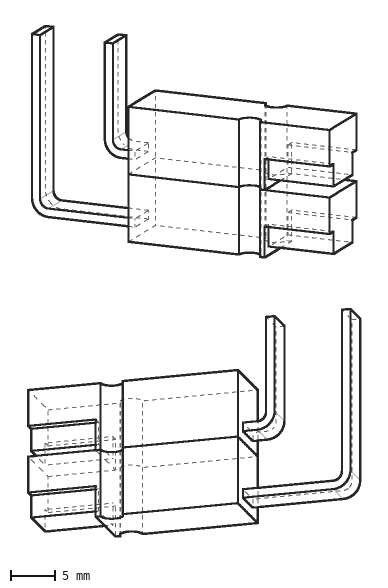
import cadquery as cq

total_length = 37.35
total_height = 22.35

housing_start = 12.65
housing_width = 7.6
housing_height = 7.88

groove_center = 27.52
groove_radius = 1.3

mating_start = 29.4
mating_length = total_length - mating_start
tongue_bottom = 1.0
hood_bottom = 3.62
tongue_inset = 1.12
tongue_width = housing_width - 2 * tongue_inset

lead_width = housing_width / 2
lead_thickness = 1.0
lead_bottom = 1.25
bend_inner_radius = 1.0
bend_outer_radius = bend_inner_radius + lead_thickness

lead_positions = [0.0, 8.92]


def block(x_start, length, width, z_start, height):
    """Box centred on Y, placed by its low X and low Z faces."""
    return (
        cq.Workplane("XY")
        .box(length, width, height, centered=(False, True, False))
        .translate((x_start, 0, z_start))
    )


def make_housing(base):
    """Housing with side grooves and a stepped mating end."""
    body = block(housing_start, mating_start - housing_start, housing_width, base, housing_height)
    hood = block(mating_start, mating_length, housing_width, base + hood_bottom, housing_height - hood_bottom)
    tongue = block(mating_start, mating_length, tongue_width, base + tongue_bottom, hood_bottom - tongue_bottom)
    grooves = (
        cq.Workplane("XY", origin=(groove_center, 0, base))
        .pushPoints([(0, -housing_width / 2), (0, housing_width / 2)])
        .circle(groove_radius)
        .extrude(housing_height)
    )
    return body.union(hood).union(tongue).cut(grooves)


def make_lead(base, lead_x):
    """Flat strip leaving the housing along -X and bending up to the top."""
    foot = base + lead_bottom
    envelope = block(lead_x, housing_start - lead_x, lead_width, foot, total_height - foot)
    outer = envelope.faces("<Z").edges("<X").fillet(bend_outer_radius)
    inner_x = lead_x + lead_thickness
    inner_z = foot + lead_thickness
    opening = (
        block(inner_x, housing_start - inner_x, lead_width, inner_z, total_height - inner_z)
        .faces("<Z").edges("<X")
        .fillet(bend_inner_radius)
    )
    return outer.cut(opening)


def make_connector(base, lead_x):
    """One connector: housing and its terminal lead as a single solid."""
    return make_housing(base).union(make_lead(base, lead_x))


connectors = []
for level, lead_x in enumerate(lead_positions):
    connectors.append(make_connector(level * housing_height, lead_x).val())

result = cq.Compound.makeCompound(connectors)